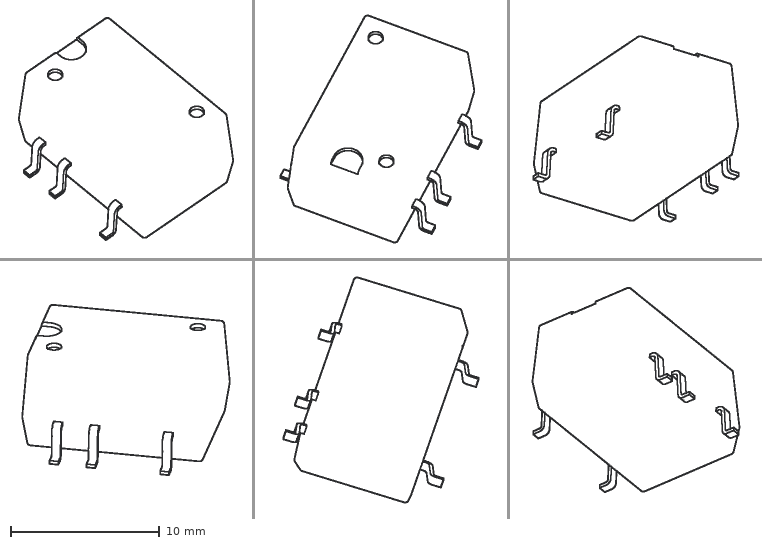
import cadquery as cq
import math

body_length = 12.7
body_width = 8.3
seam_z = 2.5
top_z = 7.25
standoff = 0.25
upper_draft = 4.0
lower_draft = 8.0
edge_radius = 0.25
seam_tolerance = 0.01

recess_depth = 0.3
dimple_diameter = 1.0
dimple_x = 4.46
dimple_y = 2.4
notch_radius = 1.0
notch_center_x = -5.46

lead_span = 11.2
lead_width = 0.61
lead_thickness = 0.25
lead_pitch = 2.54
leg_tilt = math.radians(3.0)
shoulder_radius = 0.51
foot_radius = 0.13
shoulder_y = 4.32
lead_embed = 0.38

front_lead_slots = (-1.5, -0.5, 1.5)
back_lead_slots = (-1.5, 1.5)


def drafted_block(height, draft):
    """Block on the seam outline that narrows away from the seam; negative height goes down."""
    return (
        cq.Workplane("XY")
        .workplane(offset=seam_z)
        .rect(body_length, body_width)
        .extrude(height, taper=draft)
    )


def make_body():
    upper = drafted_block(top_z - seam_z, upper_draft)
    lower = drafted_block(standoff - seam_z, lower_draft)
    seam_edges = cq.selectors.BoxSelector(
        (-body_length, -body_width, seam_z - seam_tolerance),
        (body_length, body_width, seam_z + seam_tolerance),
    )
    all_but_seam = cq.selectors.InverseSelector(seam_edges)
    return upper.union(lower).edges(all_but_seam).fillet(edge_radius)


def make_notch():
    """Round-ended recess that runs out through the -X side of the top."""
    floor = cq.Workplane("XY").workplane(offset=top_z - recess_depth)
    round_end = floor.center(notch_center_x, 0).circle(notch_radius).extrude(recess_depth)
    run_out = (
        floor.center(notch_center_x, 0)
        .rect(2 * notch_radius, 2 * notch_radius)
        .extrude(recess_depth)
        .translate((-notch_radius, 0, 0))
    )
    return round_end.union(run_out)


def make_dimples():
    return (
        cq.Workplane("XY")
        .workplane(offset=top_z - recess_depth)
        .pushPoints([(-dimple_x, -dimple_y), (dimple_x, dimple_y)])
        .circle(dimple_diameter / 2)
        .extrude(recess_depth)
    )


def make_lead():
    """Gull-wing lead on the +Y side, centred on X = 0: a YZ profile extruded to the lead width."""
    shoulder_z = seam_z - shoulder_radius
    foot_z = lead_thickness + foot_radius
    drop = shoulder_z - foot_z
    foot_y = shoulder_y + (
        shoulder_radius + foot_radius + drop * math.sin(leg_tilt)
    ) / math.cos(leg_tilt)

    def on_shoulder(radius, angle):
        return (shoulder_y + radius * math.cos(angle), shoulder_z + radius * math.sin(angle))

    def on_foot(radius, angle):
        return (foot_y - radius * math.cos(angle), foot_z - radius * math.sin(angle))

    quarter = math.pi / 2
    bend_middle = (leg_tilt + quarter) / 2
    shoulder_inner = shoulder_radius - lead_thickness
    foot_outer = foot_radius + lead_thickness
    root_y = body_width / 2 - lead_embed
    tip_y = lead_span / 2
    return (
        cq.Workplane("YZ")
        .moveTo(root_y, seam_z)
        .lineTo(*on_shoulder(shoulder_radius, quarter))
        .threePointArc(on_shoulder(shoulder_radius, bend_middle), on_shoulder(shoulder_radius, leg_tilt))
        .lineTo(*on_foot(foot_radius, leg_tilt))
        .threePointArc(on_foot(foot_radius, bend_middle), on_foot(foot_radius, quarter))
        .lineTo(tip_y, lead_thickness)
        .lineTo(tip_y, 0)
        .lineTo(*on_foot(foot_outer, quarter))
        .threePointArc(on_foot(foot_outer, bend_middle), on_foot(foot_outer, leg_tilt))
        .lineTo(*on_shoulder(shoulder_inner, leg_tilt))
        .threePointArc(on_shoulder(shoulder_inner, bend_middle), on_shoulder(shoulder_inner, quarter))
        .lineTo(root_y, seam_z - lead_thickness)
        .close()
        .extrude(lead_width / 2, both=True)
    )


result = make_body().cut(make_notch()).cut(make_dimples())

back_lead = make_lead()
front_lead = back_lead.mirror("XZ")
for slot in back_lead_slots:
    result = result.union(back_lead.translate((slot * lead_pitch, 0, 0)))
for slot in front_lead_slots:
    result = result.union(front_lead.translate((slot * lead_pitch, 0, 0)))